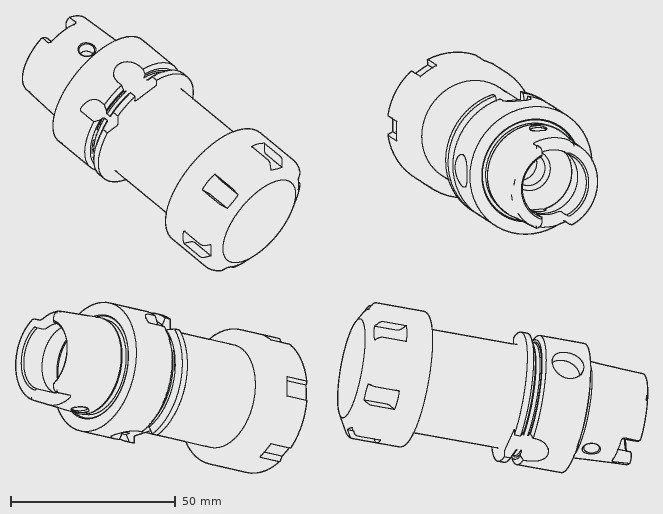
import cadquery as cq
import math


taper_length = 19.9
taper_end_x = -1.85
taper_end_radius = 15.0
taper_slope = 1 / 20
tip_round = 0.6
tip_round_x = -taper_length + tip_round
tip_radius = taper_end_radius - taper_slope * (taper_end_x - tip_round_x)

relief_radius = 14.75
relief_start_x = -1.3
relief_outer_radius = 16.1
relief_depth = 0.3

bore_radius = 10.45
bore_chamfer = 0.55
lip_end_x = -12.2
lip_step_radius = 10.9
shoulder_x = -6.0
shoulder_angle = 30
chamber_radius = 11.4
chamber_start_x = shoulder_x + (chamber_radius - lip_step_radius) / math.tan(math.radians(shoulder_angle))
chamber_end_x = 0.0
chamber_round = 1.5

recess_mouth_radius = 6.3
recess_floor_radius = 5.05
recess_cone_depth = recess_mouth_radius - recess_floor_radius
recess_depth = 8.0

drive_slot_half_width = 3.95
drive_slot_depth_top = 3.6
drive_slot_depth_bottom = 6.0
drive_slot_flare_start = 10.95
drive_slot_flare_radius = 2.0
drive_slot_flare_angle = math.radians(75)
drive_slot_floor_round = 0.8
drive_slot_mouth_round = 1.0

cross_hole_x = -5.95
cross_hole_diameter = 4.75
cross_hole_mouth_diameter = 5.7

flange_radius = 20.0
flange_end_x = 20.05
groove_start_x = 14.08
groove_flank_slope = 1 / math.tan(math.radians(30))
groove_near_wall_x = 14.95
groove_far_wall_x = 16.9
groove_near_wall_radius = flange_radius - groove_flank_slope * (groove_near_wall_x - groove_start_x)
groove_floor_round = 0.35
groove_floor_radius = 17.4
groove_end_x = 18.05
groove_far_wall_radius = flange_radius - groove_flank_slope * (groove_end_x - groove_far_wall_x)

keyway_end_x = 7.9
keyway_floor_round = 0.25
top_keyway_width = 9.0
bottom_keyway_width = 11.0
keyway_floor_height = 17.0

notch_offset = 11.75
notch_width = 9.0
notch_floor_round = 0.5

chip_hole_x = 7.2
chip_hole_diameter = 10.0
chip_hole_depth = 4.6

neck_radius = 16.0
neck_fillet = 0.8

nut_start_x = 50.0
nut_end_x = 70.0
nut_radius = 21.0
nut_back_round = 1.1
nut_shoulder_x = 65.7
nut_cone_x = 66.84
nut_cone_radius = 20.4
nut_front_radius = 15.3
neck_end_x = nut_shoulder_x

wrench_slot_count = 6
wrench_slot_start_x = 58.4
wrench_slot_floor_radius = 18.4
wrench_slot_floor_half_width = 2.65
wrench_slot_mouth_half_width = 3.1
wrench_slot_runout_angle = 55
wrench_slot_runout_radius = 1.4

OVERCUT = 5.0

SIN_45 = math.sin(math.radians(45))


def revolve_about_x(profile):
    """Turn a closed (x, radius) profile about the X axis."""
    return profile.revolve(360, (0, 0, 0), (1, 0, 0))


def holder_blank():
    """Taper, flange and neck as one turned solid."""
    round_inset = groove_floor_round * (1 - SIN_45)
    profile = (
        cq.Workplane("XY")
        .moveTo(-taper_length, 0)
        .lineTo(-taper_length, tip_radius - tip_round)
        .threePointArc(
            (tip_round_x - tip_round * SIN_45, tip_radius - tip_round + tip_round * SIN_45),
            (tip_round_x, tip_radius),
        )
        .lineTo(taper_end_x, taper_end_radius)
        .lineTo(relief_start_x, relief_radius)
        .lineTo(relief_depth, relief_radius)
        .lineTo(relief_depth, relief_outer_radius - relief_depth)
        .lineTo(0, relief_outer_radius)
        .lineTo(0, flange_radius)
        .lineTo(groove_start_x, flange_radius)
        .lineTo(groove_near_wall_x, groove_near_wall_radius)
        .lineTo(groove_near_wall_x, groove_floor_radius + groove_floor_round)
        .threePointArc(
            (groove_near_wall_x + round_inset, groove_floor_radius + round_inset),
            (groove_near_wall_x + groove_floor_round, groove_floor_radius),
        )
        .lineTo(groove_far_wall_x - groove_floor_round, groove_floor_radius)
        .threePointArc(
            (groove_far_wall_x - round_inset, groove_floor_radius + round_inset),
            (groove_far_wall_x, groove_floor_radius + groove_floor_round),
        )
        .lineTo(groove_far_wall_x, groove_far_wall_radius)
        .lineTo(groove_end_x, flange_radius)
        .lineTo(flange_end_x, flange_radius)
        .lineTo(flange_end_x, neck_radius + neck_fillet)
        .threePointArc(
            (flange_end_x + neck_fillet * (1 - SIN_45), neck_radius + neck_fillet * (1 - SIN_45)),
            (flange_end_x + neck_fillet, neck_radius),
        )
        .lineTo(neck_end_x, neck_radius)
        .lineTo(neck_end_x, 0)
        .close()
    )
    return revolve_about_x(profile)


def taper_cavity():
    """Bore, clamping chamber and central recess as one turned cutter."""
    profile = (
        cq.Workplane("XY")
        .moveTo(-taper_length, 0)
        .lineTo(-taper_length, bore_radius + bore_chamfer)
        .lineTo(-taper_length + bore_chamfer, bore_radius)
        .lineTo(lip_end_x, bore_radius)
        .lineTo(lip_end_x, lip_step_radius)
        .lineTo(shoulder_x, lip_step_radius)
        .lineTo(chamber_start_x, chamber_radius)
        .lineTo(chamber_end_x - chamber_round, chamber_radius)
        .threePointArc(
            (
                chamber_end_x - chamber_round * (1 - SIN_45),
                chamber_radius - chamber_round * (1 - SIN_45),
            ),
            (chamber_end_x, chamber_radius - chamber_round),
        )
        .lineTo(chamber_end_x, recess_mouth_radius)
        .lineTo(chamber_end_x + recess_cone_depth, recess_floor_radius)
        .lineTo(chamber_end_x + recess_depth, recess_floor_radius)
        .lineTo(chamber_end_x + recess_depth, 0)
        .close()
    )
    return revolve_about_x(profile)


def drive_slot(depth):
    """Cutter for the +Z drive slot: walls flare outwards, floor and mouth edges are rounded."""

    def flare_point(angle):
        """Half width and height of the wall after turning outwards by an angle."""
        half_width = drive_slot_half_width + drive_slot_flare_radius * (1 - math.cos(angle))
        height = drive_slot_flare_start + drive_slot_flare_radius * math.sin(angle)
        return half_width, height

    middle_half_width, middle_height = flare_point(drive_slot_flare_angle / 2)
    flare_half_width, flare_height = flare_point(drive_slot_flare_angle)
    top_height = taper_end_radius
    top_half_width = flare_half_width + (top_height - flare_height) * math.tan(drive_slot_flare_angle)
    slot = (
        cq.Workplane("YZ", origin=(-taper_length, 0, 0))
        .moveTo(-drive_slot_half_width, 0)
        .lineTo(-drive_slot_half_width, drive_slot_flare_start)
        .threePointArc((-middle_half_width, middle_height), (-flare_half_width, flare_height))
        .lineTo(-top_half_width, top_height)
        .lineTo(top_half_width, top_height)
        .lineTo(flare_half_width, flare_height)
        .threePointArc((middle_half_width, middle_height), (drive_slot_half_width, drive_slot_flare_start))
        .lineTo(drive_slot_half_width, 0)
        .close()
        .extrude(depth)
    )
    slot = slot.faces(">X").edges("not |Y").fillet(drive_slot_floor_round)

    block = cq.Workplane("XY").box(
        depth, 2 * top_half_width + OVERCUT, top_height, centered=(False, True, False)
    )
    block = block.translate((-taper_length, 0, 0))
    jaws = block.cut(slot)
    jaws = jaws.faces("<X").edges("not(|Y or >Y or <Y)").fillet(drive_slot_mouth_round)
    return block.cut(jaws)


def keyway(width, center_y, floor_z, floor_round):
    """Cutter for a round-ended keyway milled from +Z, with a rounded floor edge."""
    radius = width / 2
    center_x = keyway_end_x + radius
    length = flange_end_x - center_x
    outline = (
        cq.Workplane("XY", origin=(center_x, center_y, floor_z))
        .moveTo(length, -radius)
        .lineTo(0, -radius)
        .threePointArc((-radius, 0), (0, radius))
        .lineTo(length, radius)
        .close()
        .extrude(flange_radius)
    )
    return outline.faces("<Z").edges("not >X").fillet(floor_round)


def cross_hole():
    """Through hole along Z with a chamfered mouth on each side of the taper."""
    surface_radius = taper_end_radius + taper_slope * (cross_hole_x - taper_end_x)
    hole_radius = cross_hole_diameter / 2
    mouth_radius = cross_hole_mouth_diameter / 2
    mouth_depth = mouth_radius - hole_radius
    half = (
        cq.Workplane("XZ", origin=(cross_hole_x, 0, 0))
        .lineTo(hole_radius, 0)
        .lineTo(hole_radius, surface_radius - mouth_depth)
        .lineTo(mouth_radius, surface_radius)
        .lineTo(mouth_radius, flange_radius)
        .lineTo(0, flange_radius)
        .close()
        .revolve(360, (0, 0, 0), (0, 1, 0))
    )
    return half.union(half.mirror("XY"))


def make_holder():
    half_turn = ((0, 0, 0), (1, 0, 0), 180)
    holder = holder_blank().cut(taper_cavity())
    holder = holder.cut(drive_slot(drive_slot_depth_top))
    holder = holder.cut(drive_slot(drive_slot_depth_bottom).rotate(*half_turn))
    holder = holder.cut(cross_hole())

    holder = holder.cut(keyway(top_keyway_width, 0, keyway_floor_height, keyway_floor_round))
    bottom_keyway = keyway(bottom_keyway_width, 0, keyway_floor_height, keyway_floor_round)
    holder = holder.cut(bottom_keyway.rotate(*half_turn))
    notch_center_y = -notch_offset - notch_width / 2
    holder = holder.cut(keyway(notch_width, notch_center_y, notch_offset, notch_floor_round))

    chip_hole = (
        cq.Workplane("XZ", origin=(chip_hole_x, flange_radius, 0))
        .circle(chip_hole_diameter / 2)
        .extrude(chip_hole_depth)
    )
    return holder.cut(chip_hole)


def wrench_slot():
    """Cutter for the +Y wrench slot: wider at the mouth, with a sloping run-out at its inner end."""
    depth = nut_radius - wrench_slot_floor_radius
    flare = (wrench_slot_mouth_half_width - wrench_slot_floor_half_width) / depth
    outer_radius = nut_radius + OVERCUT
    outer_half_width = wrench_slot_floor_half_width + flare * (outer_radius - wrench_slot_floor_radius)
    section = (
        cq.Workplane("YZ", origin=(wrench_slot_start_x - OVERCUT, 0, 0))
        .moveTo(wrench_slot_floor_radius, -wrench_slot_floor_half_width)
        .lineTo(outer_radius, -outer_half_width)
        .lineTo(outer_radius, outer_half_width)
        .lineTo(wrench_slot_floor_radius, wrench_slot_floor_half_width)
        .close()
        .extrude(nut_end_x - wrench_slot_start_x + 2 * OVERCUT)
    )
    runout_slope = math.tan(math.radians(wrench_slot_runout_angle))
    runout_end_x = wrench_slot_start_x + depth / runout_slope
    side_profile = (
        cq.Workplane("XY")
        .moveTo(runout_end_x, wrench_slot_floor_radius)
        .lineTo(nut_end_x, wrench_slot_floor_radius)
        .lineTo(nut_end_x, outer_radius)
        .lineTo(wrench_slot_start_x, outer_radius)
        .lineTo(wrench_slot_start_x, nut_radius)
        .close()
        .extrude(outer_half_width, both=True)
        .edges("|Z and <Y")
        .edges("<X")
        .fillet(wrench_slot_runout_radius)
    )
    return section.intersect(side_profile)


def make_nut():
    """Nut turned with a socket that takes the end of the neck, then slotted."""
    profile = (
        cq.Workplane("XY")
        .moveTo(nut_start_x, neck_radius)
        .lineTo(nut_start_x, nut_radius - nut_back_round)
        .threePointArc(
            (
                nut_start_x + nut_back_round * (1 - SIN_45),
                nut_radius - nut_back_round * (1 - SIN_45),
            ),
            (nut_start_x + nut_back_round, nut_radius),
        )
        .lineTo(nut_shoulder_x, nut_radius)
        .tangentArcPoint((nut_cone_x, nut_cone_radius), relative=False)
        .lineTo(nut_end_x, nut_front_radius)
        .lineTo(nut_end_x, 0)
        .lineTo(neck_end_x, 0)
        .lineTo(neck_end_x, neck_radius)
        .close()
    )
    nut = revolve_about_x(profile)
    slot = wrench_slot()
    for index in range(wrench_slot_count):
        nut = nut.cut(slot.rotate((0, 0, 0), (1, 0, 0), index * 360 / wrench_slot_count))
    return nut


holder = make_holder()
nut = make_nut()
result = cq.Compound.makeCompound([*holder.solids().vals(), *nut.solids().vals()])